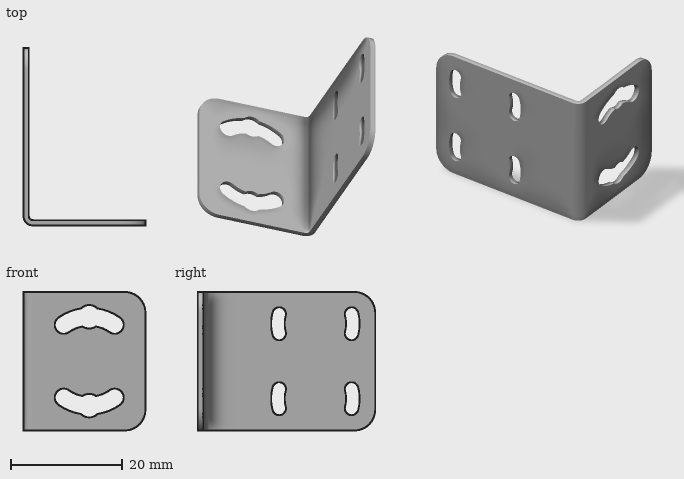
import cadquery as cq
import math

front_length = 22.0
side_length = 32.0
height = 25.0
thickness = 1.0
bend_inner_radius = 0.7
bend_outer_radius = bend_inner_radius + thickness
corner_radius = 3.8

front_pivot_x = (bend_outer_radius + front_length) / 2
front_arc_radius = 8.0
front_slot_width = 3.2
front_half_angle = 35.0
middle_hole_diameter = 4.2

side_slot_spacing = 13.5
side_pattern_y = 21.2
side_arc_radius = side_slot_spacing / 2
side_slot_width = 2.4
side_half_angle = 15.0


def polar(radius, angle):
    """Point at a radius and an angle in degrees around the origin."""
    return (
        radius * math.cos(math.radians(angle)),
        radius * math.sin(math.radians(angle)),
    )


def arc_slot(plane, pivot, arc_radius, width, direction, half_angle):
    """Round-ended slot through one flange, following an arc around the pivot."""
    inner = arc_radius - width / 2
    outer = arc_radius + width / 2
    start = direction - half_angle
    end = direction + half_angle
    tip_angle = math.degrees(2 * math.asin(width / (4 * arc_radius)))
    return (
        cq.Workplane(plane)
        .center(*pivot)
        .moveTo(*polar(outer, start))
        .threePointArc(polar(outer, direction), polar(outer, end))
        .threePointArc(polar(arc_radius, end + tip_angle), polar(inner, end))
        .threePointArc(polar(inner, direction), polar(inner, start))
        .threePointArc(polar(arc_radius, start - tip_angle), polar(outer, start))
        .close()
        .extrude(thickness, both=True)
    )


def bent_sheet():
    """L-shaped sheet with a rounded bend and rounded free corners."""
    sheet = (
        cq.Workplane("XY")
        .moveTo(0, 0)
        .lineTo(front_length, 0)
        .lineTo(front_length, thickness)
        .lineTo(thickness, thickness)
        .lineTo(thickness, side_length)
        .lineTo(0, side_length)
        .close()
        .extrude(height / 2, both=True)
    )
    outer_bend_edge = cq.selectors.NearestToPointSelector((0, 0, 0))
    inner_bend_edge = cq.selectors.NearestToPointSelector((thickness, thickness, 0))
    sheet = sheet.edges("|Z").edges(inner_bend_edge).fillet(bend_inner_radius)
    sheet = sheet.edges("|Z").edges(outer_bend_edge).fillet(bend_outer_radius)
    sheet = sheet.faces(">X").edges("|Y").fillet(corner_radius)
    return sheet.faces(">Y").edges("|X").fillet(corner_radius)


def cut_front_slots(body):
    """Upper and lower arc slots of the front flange, with their middle holes."""
    pivot = (front_pivot_x, 0)
    for direction in (90, -90):
        slot = arc_slot("XZ", pivot, front_arc_radius, front_slot_width, direction, front_half_angle)
        hole = (
            cq.Workplane("XZ")
            .center(*pivot)
            .moveTo(*polar(front_arc_radius, direction))
            .circle(middle_hole_diameter / 2)
            .extrude(thickness, both=True)
        )
        body = body.cut(slot).cut(hole)
    return body


def cut_side_slots(body):
    """Two pairs of arc slots in the side flange, each pair around its own pivot."""
    for pivot_z in (-side_slot_spacing / 2, side_slot_spacing / 2):
        pivot = (side_pattern_y, pivot_z)
        for direction in (0, 180):
            slot = arc_slot("YZ", pivot, side_arc_radius, side_slot_width, direction, side_half_angle)
            body = body.cut(slot)
    return body


result = cut_side_slots(cut_front_slots(bent_sheet()))